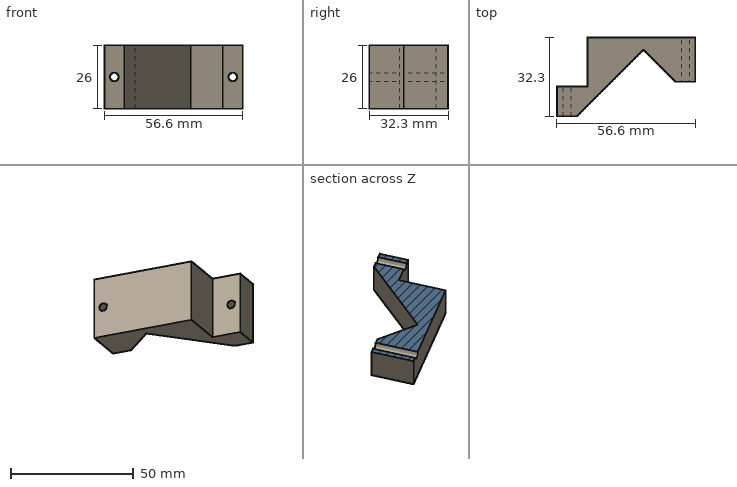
import cadquery as cq
import math

length = 56.57
depth = 32.28
height = 26.0

notch_angle = math.radians(45)
long_face = 38.5
short_face = 18.5
long_run = long_face * math.sin(notch_angle)
short_run = short_face * math.sin(notch_angle)

foot_width = (length - long_run - short_run) / 2
right_foot_y = long_run - short_run

ledge_width = 12.5
ledge_depth = 12.28

hole_diameter = 3.4


def make_body():
    """Bracket profile in the XY plane, extruded along Z."""
    outline = [
        (0, 0),
        (foot_width, 0),
        (foot_width + long_run, long_run),
        (length - foot_width, right_foot_y),
        (length, right_foot_y),
        (length, depth),
        (ledge_width, depth),
        (ledge_width, ledge_depth),
        (0, ledge_depth),
    ]
    return cq.Workplane("XY").polyline(outline).close().extrude(height)


def make_foot_hole(x):
    """Cutter along Y through the full depth at mid-height."""
    return (
        cq.Workplane("XZ")
        .center(x, height / 2)
        .circle(hole_diameter / 2)
        .extrude(-depth)
    )


result = make_body()
for hole_x in (foot_width / 2, length - foot_width / 2):
    result = result.cut(make_foot_hole(hole_x))